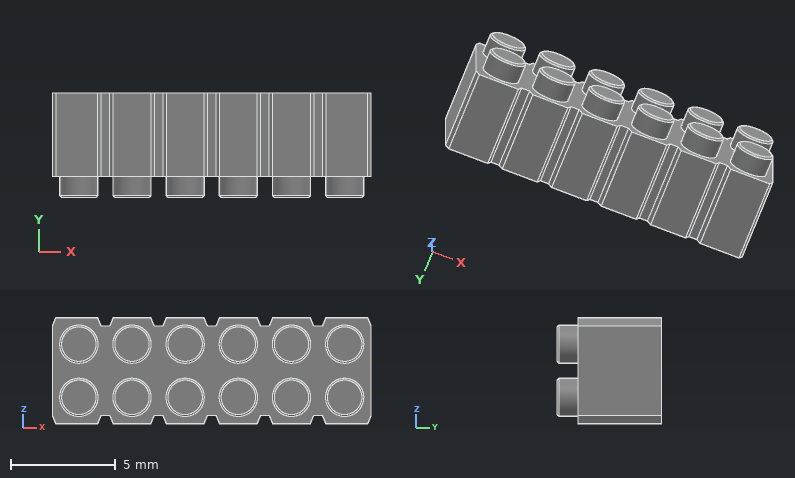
import cadquery as cq

column_count = 6
row_count = 2
body_length = 15.24
pitch = body_length / column_count
body_height = row_count * pitch
body_depth = 4.0

groove_depth = 0.4
groove_floor_width = 0.41
flank_run = 0.17

pin_diameter = 1.83
pin_length = 1.0
pin_chamfer = 0.09


def make_groove(x, side):
    """Groove running through the body along Y; side is 1 for the top face, -1 for the bottom."""
    face_z = side * body_height / 2
    floor_z = face_z - side * groove_depth
    half_floor = groove_floor_width / 2
    half_mouth = half_floor + flank_run
    return (
        cq.Workplane("XZ")
        .polyline([
            (x - half_mouth, face_z),
            (x - half_floor, floor_z),
            (x + half_floor, floor_z),
            (x + half_mouth, face_z),
        ])
        .close()
        .extrude(-body_depth)
    )


def make_body():
    """Prism along Y with bevelled long corners and a groove at every column boundary."""
    half_length = body_length / 2
    half_height = body_height / 2
    bevel_x = half_length - flank_run
    bevel_z = half_height - groove_depth
    body = (
        cq.Workplane("XZ")
        .polyline([
            (-half_length, -bevel_z),
            (-bevel_x, -half_height),
            (bevel_x, -half_height),
            (half_length, -bevel_z),
            (half_length, bevel_z),
            (bevel_x, half_height),
            (-bevel_x, half_height),
            (-half_length, bevel_z),
        ])
        .close()
        .extrude(-body_depth)
    )
    for column in range(1, column_count):
        x = column * pitch - half_length
        for side in (1, -1):
            body = body.cut(make_groove(x, side))
    return body


def make_pins():
    """Grid of pins standing out from the front face at Y = 0, chamfered at their free ends."""
    return (
        cq.Workplane("XZ")
        .rarray(pitch, pitch, column_count, row_count)
        .circle(pin_diameter / 2)
        .extrude(pin_length)
        .faces("<Y")
        .chamfer(pin_chamfer)
    )


result = make_body().union(make_pins())